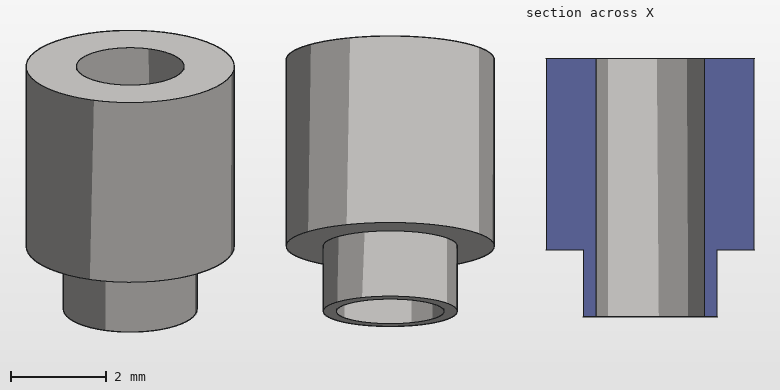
import cadquery as cq

total_height = 5.4
spigot_height = 1.4
body_diameter = 4.35
spigot_diameter = 2.8
bore_diameter = 2.25

body_height = total_height - spigot_height

spigot = cq.Workplane("XY").circle(spigot_diameter / 2).extrude(spigot_height)

stepped_sleeve = (
    spigot.faces(">Z").workplane()
    .circle(body_diameter / 2)
    .extrude(body_height)
)

bore = cq.Workplane("XY").circle(bore_diameter / 2).extrude(total_height)

result = stepped_sleeve.cut(bore)